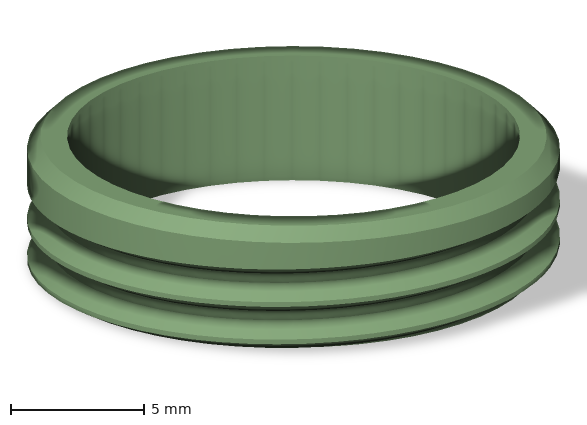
import cadquery as cq
import math

outer_radius = 10.0
bore_radius = 8.5
height = 5.0
top_chamfer = 0.5

pitch = 1.5
turns = 4
flank_angle = math.radians(30)
crest_flat = pitch / 8
root_flat = pitch / 4
groove_opening = pitch - crest_flat
thread_depth = (groove_opening - root_flat) / 2 / math.tan(flank_angle)
root_radius = outer_radius - thread_depth

groove_end_z = height - top_chamfer - groove_opening / 2
groove_start_z = groove_end_z - turns * pitch
cutter_overhang = 0.05


def make_ring():
    ring = cq.Workplane("XY").circle(outer_radius).extrude(height)
    ring = ring.faces(">Z").edges().chamfer(top_chamfer)
    bore = cq.Workplane("XY").circle(bore_radius).extrude(height)
    return ring.cut(bore)


def make_thread_cutter():
    half_root = root_flat / 2
    half_mouth = groove_opening / 2 + cutter_overhang * math.tan(flank_angle)
    mouth_radius = outer_radius + cutter_overhang
    helix = cq.Wire.makeHelix(pitch, turns * pitch, root_radius)
    cutter = (
        cq.Workplane("XZ")
        .moveTo(root_radius, -half_root)
        .lineTo(mouth_radius, -half_mouth)
        .lineTo(mouth_radius, half_mouth)
        .lineTo(root_radius, half_root)
        .close()
        .sweep(cq.Workplane(helix), isFrenet=True)
    )
    cutter = cutter.rotate((0, 0, 0), (0, 0, 1), 180)
    return cutter.translate((0, 0, groove_start_z))


result = make_ring().cut(make_thread_cutter())